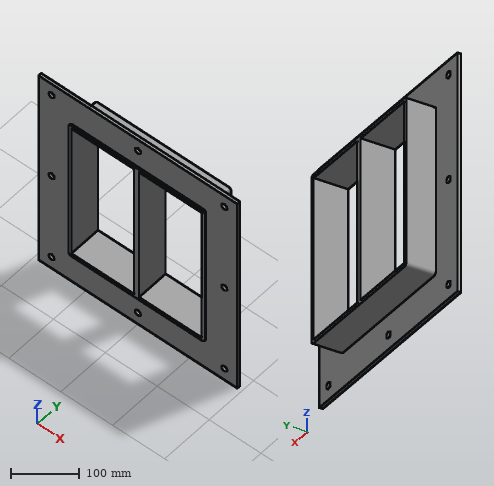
import cadquery as cq

plate_width = 383.0
plate_height = 410.0
plate_thickness = 6.0

duct_width = 263.2
duct_height = 290.0
duct_depth = 60.0
duct_wall = 6.0
duct_corner_radius = 6.0
duct_front_lip = 3.0
divider_thickness = 10.0

hole_diameter = 10.5
hole_edge_distance = 25.0


def block(width, height, front, depth):
    """Block centred on X and Z, running toward +Y from its front face."""
    return cq.Workplane("XY").box(width, depth, height).translate((0, front + depth / 2, 0))


plate = block(plate_width, plate_height, 0, plate_thickness)
duct = block(duct_width, duct_height, -duct_front_lip, duct_depth)
duct = duct.edges("|Y").fillet(duct_corner_radius)

bore_height = duct_height - 2 * duct_wall
bore = block(duct_width - 2 * duct_wall, bore_height, -duct_front_lip, duct_depth)
divider = block(divider_thickness, bore_height, -duct_front_lip, duct_depth)
openings = bore.cut(divider)

hole_x = plate_width / 2 - hole_edge_distance
hole_z = plate_height / 2 - hole_edge_distance
hole_points = [
    (x, z)
    for x in (-hole_x, 0, hole_x)
    for z in (-hole_z, 0, hole_z)
    if (x, z) != (0, 0)
]
holes = (
    cq.Workplane("XZ")
    .pushPoints(hole_points)
    .circle(hole_diameter / 2)
    .extrude(-plate_thickness)
)

result = plate.union(duct).cut(openings).cut(holes)